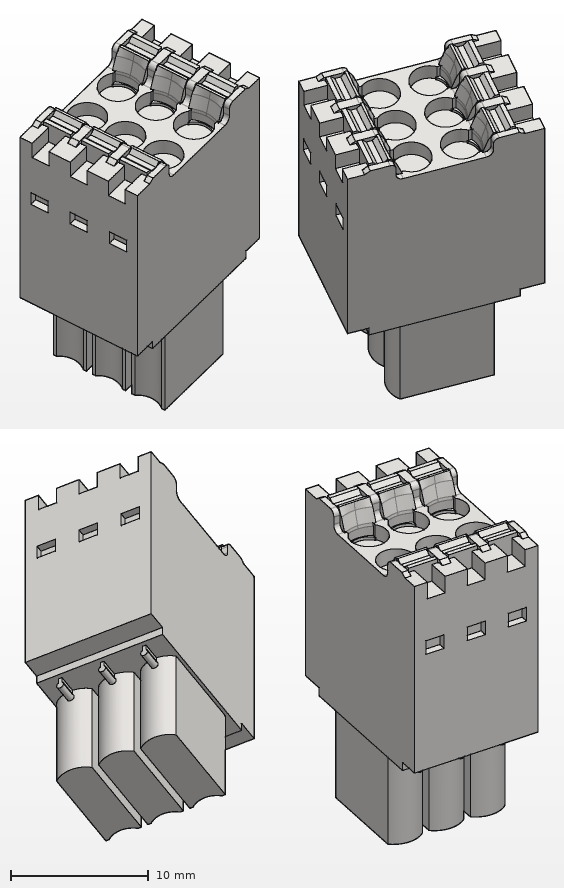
import cadquery as cq
import math

width = 10.5
depth = 15.2
overall_height = 25.05
rib_drop = 0.1
rib_top = overall_height - rib_drop
shoulder_top = 24.7
floor_top = 23.27
block_bottom = 8.55
flange_bottom = 7.85
flange_depth = 11.66
row_center_y = 0.1

rib_toe = 3.2
rib_wall = 3.75
rib_crest_inner = 4.2
rib_crest_outer = 5.75
rib_ramp_end = 6.18
rib_round_bottom = 24.45
rib_toe_radius = rib_wall - rib_toe

pole_pitch = 3.4
pole_xs = [i * pole_pitch for i in (-1, 0, 1)]
hole_offset = 1.92
hole_radius = 1.5
hole_depth = 1.3
hole_bottom = floor_top - hole_depth
slot_width = 1.5

lever_width = 2.66
lever_neck_width = 2.44
lever_outer = 5.66
ridge_inner_end = 4.15
groove_floor = (4.5, 4.95)
ridge_outer_start = 5.3
groove_depth = 0.35
groove_bottom = overall_height - groove_depth

lever_foot_width = 2.28
lever_toe_radius = 1.42
lever_toe_thickness = 0.25

scoop_sections = (
    (hole_bottom, 3.42, 3.04),
    (23.0, 3.42, 3.04),
    (23.26, 3.46, 3.08),
    (24.4, 3.81, 3.52),
    (overall_height, 3.95, 3.93),
)

connector_pitch = 3.5
connector_xs = [i * connector_pitch for i in (-1, 0, 1)]
window_width = 1.53
window_bottom = 18.5
window_top = 19.67
window_depth = 0.6

prong_width = 2.96
prong_front = -3.82
prong_edge_back = 3.45
prong_crown_back = 4.0
scallop_width = 2.4
scallop_depth = 0.45

rod_radius = 0.29
rod_center_z = 7.18
rod_end = 5.55
rod_start = prong_edge_back
rod_web_width = 0.3


def centered_box(x, y, z, x_center, y_min, z_min):
    """Box of the given size, centred in X, starting at y_min and z_min."""
    return cq.Workplane("XY").box(x, y, z, (True, False, False)).translate((x_center, y_min, z_min))


def place_in_row(shape, x, side):
    """Move a shape made for the +Y row at X = 0 to pole x of the row on the given side."""
    if side < 0:
        shape = shape.mirror("XZ")
    return shape.translate((x, row_center_y, 0))


def make_prong(x):
    half = prong_width / 2
    half_scallop = scallop_width / 2
    return (
        cq.Workplane("XY")
        .moveTo(-half, prong_front)
        .lineTo(-half_scallop, prong_front)
        .threePointArc((0, prong_front + scallop_depth), (half_scallop, prong_front))
        .lineTo(half, prong_front)
        .lineTo(half, prong_edge_back)
        .threePointArc((0, prong_crown_back), (-half, prong_edge_back))
        .close()
        .extrude(flange_bottom)
        .translate((x, 0, 0))
    )


def make_rod(x):
    length = rod_end - rod_start
    rod = (
        cq.Workplane("XZ", origin=(x, rod_end, rod_center_z))
        .circle(rod_radius)
        .extrude(length)
    )
    web = centered_box(rod_web_width, length, flange_bottom - rod_center_z, x, rod_start, rod_center_z)
    return rod.union(web)


def make_rib_bar():
    """Raised bar along the +Y row, standing on the sunken floor across the full width."""
    bend = math.sqrt(0.5)
    crest_y_radius = rib_crest_inner - rib_wall
    crest_z_radius = rib_top - rib_round_bottom
    crest_middle = (
        rib_crest_inner - crest_y_radius * bend,
        rib_round_bottom + crest_z_radius * bend,
    )
    toe_middle = (
        rib_toe + rib_toe_radius * bend,
        floor_top + rib_toe_radius * (1 - bend),
    )
    return (
        cq.Workplane("YZ", origin=(-width / 2, 0, 0))
        .moveTo(rib_toe, floor_top)
        .threePointArc(toe_middle, (rib_wall, floor_top + rib_toe_radius))
        .lineTo(rib_wall, rib_round_bottom)
        .threePointArc(crest_middle, (rib_crest_inner, rib_top))
        .lineTo(rib_crest_outer, rib_top)
        .lineTo(rib_ramp_end, shoulder_top)
        .lineTo(rib_ramp_end, floor_top)
        .close()
        .extrude(width)
    )


def make_housing():
    block = centered_box(width, depth, floor_top - block_bottom, 0, -depth / 2, block_bottom)
    flange = centered_box(
        width, flange_depth, block_bottom - flange_bottom,
        0, row_center_y - flange_depth / 2, flange_bottom,
    )
    body = block.union(flange)

    for side in (-1, 1):
        body = body.union(place_in_row(make_rib_bar(), 0, side))
        shoulder_inner = row_center_y + side * rib_crest_outer
        shoulder_outer = side * depth / 2
        shoulder = centered_box(
            width, abs(shoulder_outer - shoulder_inner), shoulder_top - floor_top,
            0, min(shoulder_inner, shoulder_outer), floor_top,
        )
        body = body.union(shoulder)

    rib_gap = centered_box(
        lever_width, lever_outer - hole_offset, overall_height - floor_top,
        0, hole_offset, floor_top,
    )
    ramp_gap = centered_box(
        lever_width, rib_ramp_end - lever_outer, overall_height - shoulder_top,
        0, lever_outer, shoulder_top,
    )
    foot_pocket = centered_box(
        lever_foot_width, lever_outer - hole_offset, hole_depth,
        0, hole_offset, hole_bottom,
    )
    hole = (
        cq.Workplane("XY", origin=(0, hole_offset, hole_bottom))
        .circle(hole_radius)
        .extrude(overall_height - hole_bottom)
    )
    slot = centered_box(slot_width, depth, overall_height - floor_top, 0, lever_outer, floor_top)
    opening = rib_gap.union(ramp_gap).union(foot_pocket).union(hole).union(slot)
    for side in (-1, 1):
        for x in pole_xs:
            body = body.cut(place_in_row(opening, x, side))
        face_y = side * depth / 2
        for x in connector_xs:
            window = centered_box(
                window_width, 2 * window_depth, window_top - window_bottom,
                x, face_y - window_depth, window_bottom,
            )
            body = body.cut(window)

    for x in connector_xs:
        body = body.union(make_prong(x)).union(make_rod(x))
    return body


def scoop_wire(z, middle, edge):
    """Closed outline of the lever scoop at height z, bounded outward by two arcs that meet at X = 0."""
    half = lever_width / 2
    radius = (half**2 + (middle - edge) ** 2) / (2 * (middle - edge))
    quarter_y = middle - radius + math.sqrt(radius**2 - (half / 2) ** 2)
    front_left = cq.Vector(-half, 0, z)
    front_right = cq.Vector(half, 0, z)
    left = cq.Vector(-half, edge, z)
    left_quarter = cq.Vector(-half / 2, quarter_y, z)
    center = cq.Vector(0, middle, z)
    right_quarter = cq.Vector(half / 2, quarter_y, z)
    right = cq.Vector(half, edge, z)
    edges = [
        cq.Edge.makeLine(front_left, left),
        cq.Edge.makeThreePointArc(left, left_quarter, center),
        cq.Edge.makeThreePointArc(center, right_quarter, right),
        cq.Edge.makeLine(right, front_right),
        cq.Edge.makeLine(front_right, front_left),
    ]
    return cq.Wire.assembleEdges(edges)


def make_lever():
    """Release lever for the pole at X = 0 of the +Y row."""
    scoop = cq.Workplane(cq.Solid.makeLoft([scoop_wire(*section) for section in scoop_sections], True))
    inner_limit = min(edge for _, _, edge in scoop_sections)

    head = (
        cq.Workplane("YZ", origin=(-lever_width / 2, 0, 0))
        .moveTo(inner_limit, floor_top)
        .lineTo(inner_limit, overall_height)
        .lineTo(ridge_inner_end, overall_height)
        .lineTo(groove_floor[0], groove_bottom)
        .lineTo(groove_floor[1], groove_bottom)
        .lineTo(ridge_outer_start, overall_height)
        .lineTo(lever_outer, overall_height)
        .lineTo(lever_outer, floor_top)
        .close()
        .extrude(lever_width)
    )
    foot = centered_box(
        lever_foot_width, lever_outer - inner_limit, hole_depth,
        0, inner_limit, hole_bottom,
    )
    toe = centered_box(
        lever_foot_width, lever_outer - hole_offset, lever_toe_thickness,
        0, hole_offset, hole_bottom,
    )
    toe_clearance = (
        cq.Workplane("XY", origin=(0, hole_offset, hole_bottom))
        .circle(lever_toe_radius)
        .extrude(lever_toe_thickness)
    )
    body = head.union(foot).cut(scoop).union(toe.cut(toe_clearance))

    side_relief = (lever_width - lever_neck_width) / 2
    for side in (-1, 1):
        relief = centered_box(
            side_relief, lever_outer - ridge_inner_end, overall_height - floor_top,
            side * (lever_width - side_relief) / 2, ridge_inner_end, floor_top,
        )
        body = body.cut(relief)
    return body


housing = make_housing()
levers = [place_in_row(make_lever(), x, side).val() for side in (-1, 1) for x in pole_xs]

result = cq.Compound.makeCompound([housing.val(), *levers])